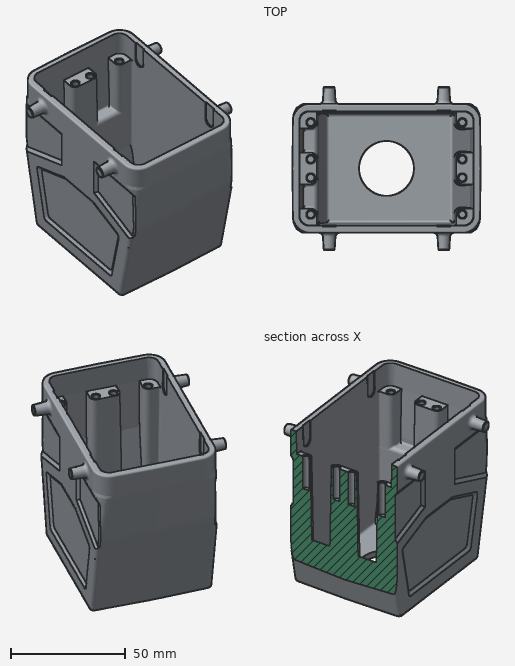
import cadquery as cq
import math

HEIGHT = 79.0
RIM_HALF_X = 41.0
HALF_Y = 28.05
SIDE_CREST = 0.25
RIM_ROUND = 0.8

COLLAR_DEPTH = 11.2
WAIST_DEPTH = 35.1
WAIST_HALF_X = 39.2
BASE_HALF_X = 30.7
COLLAR_BEND = 0.7
WAIST_BEND = 1.2
COLLAR_CORNER_R = 7.55
TAPER_CORNER_R = 6.4
WAIST_CORNER_R = 2.05
BASE_ROUND = 2.0

RIM_INNER_X = 38.0
RIM_INNER_Y = 24.9
INNER_CORNER_R = 4.35
DRAFT = 1.0
POST_DEPTH = 11.5
FLOOR_DEPTH = 75.9
COLLAR_INNER_X = 37.6
WAIST_INNER_X = 36.25
FLOOR_INNER_X = 28.5
FLOOR_ROUND = 1.2
CABLE_HOLE_R = 11.9
LEDGE_DEPTH = 37.7
LEDGE_INNER_X = 29.9
LEDGE_BEND_DEPTH = 59.0
LEDGE_BEND_X = 29.35
LEDGE_FLOOR_X = 25.9
LEDGE_ROUND = 2.0
LEDGE_CORNER_ROUND = 0.8

POST_FRONT_X = 30.4
CORNER_POST_Y = 17.55
MIDDLE_POST_HALF_Y = 6.8
POST_ROUND = 2.5
POST_WALL_ROUND = 0.8
SCREW_X = 33.0
SCREW_YS = (4.0, 20.0)
SCREW_R = 1.55
SCREW_MOUTH_R = 2.0
SCREW_DEPTH = 16.4

PIN_X = 24.9
PIN_DEPTH = 6.4
PIN_TIP_Y = 35.5
PIN_ROOT_R = 2.8
PIN_TIP_R = 2.5
PIN_TIP_CHAMFER = 0.3
PIN_EMBED = 1.9
PIN_FLARE = 1.7
RELIEF_R = 2.8
RELIEF_DEEP = 0.4

RECESS_DEEP = 1.15
RECESS_WALL = 1.7
RECESS_SLOPE = 20.0
RECESS_ROUND = 3.3
GRIP_TOP = 13.2
GRIP_INNER_X = 11.4
GRIP_INNER_BOTTOM = 31.25
GRIP_EDGE_CHAMFER = 0.65
PANEL_TOP = 37.0
PANEL_TOP_HALF_X = 10.1
PANEL_SHOULDER_X = 29.4
PANEL_BOTTOM = 71.0
PANEL_BOTTOM_HALF_X = 23.9

TOUCH = 0.01


def outer_half_x(depth):
    """Half width of the unsoftened outer end-face profile."""
    if depth <= COLLAR_DEPTH:
        return RIM_HALF_X
    if depth <= WAIST_DEPTH:
        share = (depth - COLLAR_DEPTH) / (WAIST_DEPTH - COLLAR_DEPTH)
        return RIM_HALF_X + share * (WAIST_HALF_X - RIM_HALF_X)
    share = (depth - WAIST_DEPTH) / (HEIGHT - WAIST_DEPTH)
    return WAIST_HALF_X + share * (BASE_HALF_X - WAIST_HALF_X)


def outer_section(depth, corner_r):
    """Rounded rectangle whose short sides are slightly peaked at Y = 0."""
    crest_x = outer_half_x(depth)
    side_x = crest_x - SIDE_CREST
    mid_x = side_x - corner_r
    mid_y = HALF_Y - corner_r
    reach = corner_r * math.sqrt(0.5)
    arc_x = mid_x + reach
    arc_y = mid_y + reach
    return (
        cq.Workplane("XY", origin=(0, 0, -depth))
        .moveTo(crest_x, 0)
        .lineTo(side_x, mid_y)
        .threePointArc((arc_x, arc_y), (mid_x, HALF_Y))
        .lineTo(-mid_x, HALF_Y)
        .threePointArc((-arc_x, arc_y), (-side_x, mid_y))
        .lineTo(-crest_x, 0)
        .lineTo(-side_x, -mid_y)
        .threePointArc((-arc_x, -arc_y), (-mid_x, -HALF_Y))
        .lineTo(mid_x, -HALF_Y)
        .threePointArc((arc_x, -arc_y), (side_x, -mid_y))
        .close()
        .val()
    )


def outer_body():
    stations = [
        (0, COLLAR_CORNER_R),
        (COLLAR_DEPTH - COLLAR_BEND, COLLAR_CORNER_R),
        (COLLAR_DEPTH + COLLAR_BEND, TAPER_CORNER_R),
        (WAIST_DEPTH - WAIST_BEND, WAIST_CORNER_R),
        (WAIST_DEPTH + WAIST_BEND, WAIST_CORNER_R),
        (HEIGHT, WAIST_CORNER_R),
    ]
    wires = [outer_section(depth, corner_r) for depth, corner_r in stations]
    body = cq.Workplane(cq.Solid.makeLoft(wires, True))
    crown = (
        cq.Workplane("YZ")
        .polyline([
            (-HALF_Y, 0),
            (-HALF_Y, -HEIGHT + SIDE_CREST),
            (0, -HEIGHT),
            (HALF_Y, -HEIGHT + SIDE_CREST),
            (HALF_Y, 0),
        ])
        .close()
        .extrude(RIM_HALF_X, both=True)
    )
    body = body.intersect(crown)
    base_edges = [
        edge
        for edge in body.edges().vals()
        if edge.BoundingBox().zmin < -HEIGHT + 2 * SIDE_CREST
        and edge.BoundingBox().zlen < 2 * SIDE_CREST
        and abs(edge.Center().y) > TOUCH
    ]
    body = body.newObject(base_edges).fillet(BASE_ROUND)
    return body.faces(">Z").edges().fillet(RIM_ROUND)


def cavity():
    """Hollow inside: a drafted well narrowed by the end walls, around the screw posts."""
    well = (
        cq.Workplane("XY")
        .sketch()
        .rect(2 * RIM_INNER_X, 2 * RIM_INNER_Y)
        .vertices()
        .fillet(INNER_CORNER_R)
        .finalize()
        .extrude(-FLOOR_DEPTH, taper=DRAFT)
    )
    end_walls = (
        cq.Workplane("XZ")
        .polyline([
            (RIM_INNER_X, 0),
            (COLLAR_INNER_X, -POST_DEPTH),
            (WAIST_INNER_X, -WAIST_DEPTH),
            (FLOOR_INNER_X, -FLOOR_DEPTH),
            (-LEDGE_FLOOR_X, -FLOOR_DEPTH),
            (-LEDGE_BEND_X, -LEDGE_BEND_DEPTH),
            (-LEDGE_INNER_X, -LEDGE_DEPTH),
            (-WAIST_INNER_X, -LEDGE_DEPTH),
            (-WAIST_INNER_X, -WAIST_DEPTH),
            (-COLLAR_INNER_X, -POST_DEPTH),
            (-RIM_INNER_X, 0),
        ])
        .close()
        .extrude(HALF_Y, both=True)
    )
    ledge_edge = cq.selectors.NearestToPointSelector((-LEDGE_INNER_X, 0, -LEDGE_DEPTH))
    end_walls = end_walls.edges(ledge_edge).fillet(LEDGE_ROUND)
    hollow = well.intersect(end_walls)
    hollow = hollow.faces("<Z").edges().fillet(FLOOR_ROUND)
    for post in screw_posts():
        hollow = hollow.cut(post)
    ledge_corners = cq.selectors.BoxSelector(
        (-RIM_HALF_X, -HALF_Y, -LEDGE_DEPTH - TOUCH),
        (-LEDGE_INNER_X - LEDGE_ROUND, HALF_Y, -LEDGE_DEPTH + TOUCH),
    )
    hollow = hollow.edges(ledge_corners).fillet(LEDGE_CORNER_ROUND)
    post_roots = [
        edge
        for edge in hollow.edges().vals()
        if abs(edge.Center().y) > CORNER_POST_Y + 2 * POST_ROUND
        and LEDGE_FLOOR_X < abs(edge.Center().x) < POST_FRONT_X
        and edge.BoundingBox().zlen > TOUCH
        and edge.BoundingBox().zmax > -POST_DEPTH - TOUCH
    ]
    return hollow.newObject(post_roots).fillet(POST_WALL_ROUND)


def screw_posts():
    """Drafted posts standing on the floor at both ends, with room to merge into the walls."""
    post_x = (RIM_HALF_X + POST_FRONT_X) / 2
    size_x = RIM_HALF_X - POST_FRONT_X
    corner_y = (HALF_Y + CORNER_POST_Y) / 2
    corner_size = HALF_Y - CORNER_POST_Y
    rows = [
        (-corner_y, corner_size),
        (0, 2 * MIDDLE_POST_HALF_Y),
        (corner_y, corner_size),
    ]
    posts = []
    for side in (-1, 1):
        for y, size_y in rows:
            posts.append(
                cq.Workplane("XY", origin=(side * post_x, y, -POST_DEPTH))
                .sketch()
                .rect(size_x, size_y)
                .vertices()
                .fillet(POST_ROUND)
                .finalize()
                .extrude(-HEIGHT + POST_DEPTH, taper=-DRAFT)
            )
    return posts


def screw_hole(x, y):
    """Blind hole with a 45 degree countersunk mouth."""
    lead_in = SCREW_MOUTH_R - SCREW_R
    return (
        cq.Workplane("XZ", origin=(x, y, -POST_DEPTH))
        .polyline([
            (0, 0),
            (SCREW_MOUTH_R, 0),
            (SCREW_R, -lead_in),
            (SCREW_R, -SCREW_DEPTH),
            (0, -SCREW_DEPTH),
        ])
        .close()
        .revolve(360, (0, 0, 0), (0, 1, 0))
    )


def pin(x):
    """Tapered pin on the -Y face with a concave flare at its root."""
    length = PIN_TIP_Y - HALF_Y
    return (
        cq.Workplane("XY", origin=(x, -HALF_Y, -PIN_DEPTH))
        .moveTo(0, PIN_EMBED)
        .lineTo(PIN_ROOT_R + PIN_FLARE, PIN_EMBED)
        .lineTo(PIN_ROOT_R + PIN_FLARE, 0)
        .radiusArc((PIN_ROOT_R, -PIN_FLARE), -PIN_FLARE)
        .lineTo(PIN_TIP_R, PIN_TIP_CHAMFER - length)
        .lineTo(PIN_TIP_R - PIN_TIP_CHAMFER, -length)
        .lineTo(0, -length)
        .close()
        .revolve(360, (0, 0, 0), (0, 1, 0))
    )


def pin_relief(x):
    """Round-ended shallow slot inside the -Y wall, open at the rim."""
    round_depth = POST_DEPTH - RELIEF_R
    return (
        cq.Workplane("XZ", origin=(x, -RIM_INNER_Y - RELIEF_DEEP, 0))
        .moveTo(-RELIEF_R, 0)
        .lineTo(-RELIEF_R, -round_depth)
        .threePointArc((0, -POST_DEPTH), (RELIEF_R, -round_depth))
        .lineTo(RELIEF_R, 0)
        .close()
        .extrude(-2 * RELIEF_DEEP)
    )


def face_recess(outline):
    """Slope-walled recess cut into the -Y face; outline points are (x, depth)."""
    wall_angle = math.degrees(math.atan(RECESS_WALL / RECESS_DEEP))
    face = cq.Plane(origin=(0, -HALF_Y, 0), xDir=(1, 0, 0), normal=(0, 1, 0))
    return cq.Workplane(face).polyline(outline).close().extrude(RECESS_DEEP, taper=wall_angle)


def grip_recess():
    """Recess for the +X half of the face, running out through the corner."""
    outer_x = RIM_HALF_X + 2 * RECESS_WALL
    drop = (outer_x - GRIP_INNER_X) * math.tan(math.radians(RECESS_SLOPE))
    return face_recess([
        (GRIP_INNER_X, GRIP_TOP),
        (outer_x, GRIP_TOP),
        (outer_x, GRIP_INNER_BOTTOM + drop),
        (GRIP_INNER_X, GRIP_INNER_BOTTOM),
    ])


def panel_recess():
    drop = (PANEL_SHOULDER_X - PANEL_TOP_HALF_X) * math.tan(math.radians(RECESS_SLOPE))
    right_side = [
        (PANEL_TOP_HALF_X, PANEL_TOP),
        (PANEL_SHOULDER_X, PANEL_TOP + drop),
        (PANEL_BOTTOM_HALF_X, PANEL_BOTTOM),
    ]
    left_side = [(-x, depth) for x, depth in reversed(right_side)]
    recess = face_recess(right_side + left_side)
    corners = [
        edge
        for edge in recess.edges().vals()
        if abs(edge.Center().x) > PANEL_TOP_HALF_X and edge.BoundingBox().ylen > TOUCH
    ]
    return recess.newObject(corners).fillet(RECESS_ROUND)


def soften_grip_edges(body):
    """Chamfer where the grip recess floors break out through the rounded corners."""
    floor_y = HALF_Y - RECESS_DEEP
    outer_edges = [
        edge
        for edge in body.edges("not |X").vals()
        if abs(abs(edge.Center().y) - floor_y) < TOUCH
        and edge.BoundingBox().ylen < TOUCH
        and abs(edge.Center().x) > RIM_HALF_X - COLLAR_CORNER_R
    ]
    return body.newObject(outer_edges).chamfer(GRIP_EDGE_CHAMFER)


def on_both_faces(feature):
    return [feature, feature.mirror("XZ")]


result = outer_body()

right_grip = grip_recess()
for grip in (right_grip, right_grip.mirror("YZ")):
    for cutter in on_both_faces(grip):
        result = result.cut(cutter)
result = soften_grip_edges(result)

for cutter in on_both_faces(panel_recess()):
    result = result.cut(cutter)

result = result.cut(cavity())

for x in (-PIN_X, PIN_X):
    for cutter in on_both_faces(pin_relief(x)):
        result = result.cut(cutter)
    for added_pin in on_both_faces(pin(x)):
        result = result.union(added_pin)

for x in (-SCREW_X, SCREW_X):
    for y in SCREW_YS:
        for cutter in on_both_faces(screw_hole(x, y)):
            result = result.cut(cutter)

cable_hole = cq.Workplane("XY").circle(CABLE_HOLE_R).extrude(-HEIGHT)
result = result.cut(cable_hole)